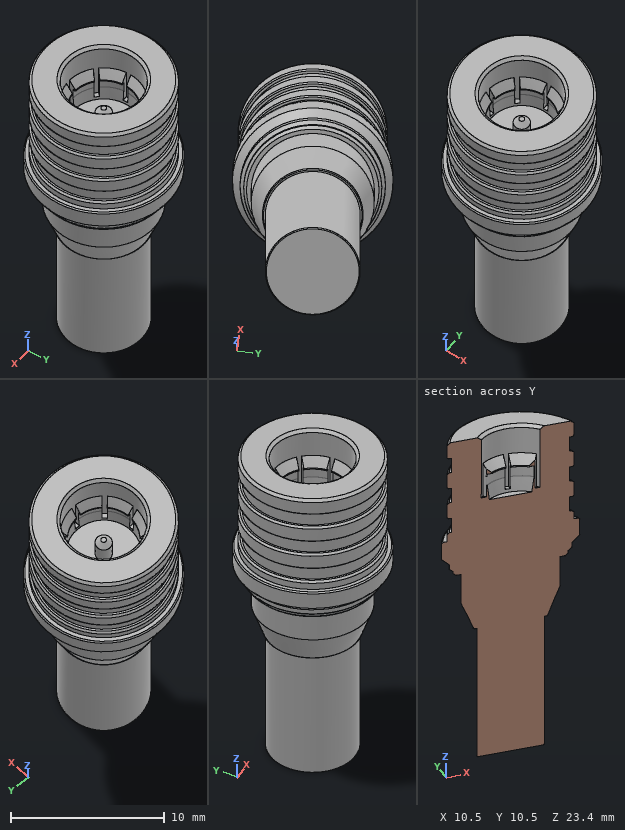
import cadquery as cq

length = 23.45

ring_radius = 4.88
groove_radius = 4.6
ring_count = 4
lowest_ring_top = 16.85
ring_pitch = (length - lowest_ring_top) / (ring_count - 1)
ring_width = 1.2
mouth_chamfer = 0.19
ring_top_chamfer = 0.15
ring_bottom_chamfer = 0.1

collar_diameter = 10.48
collar_radius = collar_diameter / 2
collar_top = 16.23
collar_cylinder_bottom = 14.95
collar_edge_chamfer = 0.1

upper_step_radius = 4.74
upper_step_top = 14.47
upper_step_bottom = 14.15
lower_step_radius = 4.5
lower_step_top = 13.93
lower_step_bottom = 13.8
sleeve_bottom_radius = 4.31
sleeve_bottom = 13.6

body_radius = 4.0
taper_top = 11.5
taper_radius = 3.28
taper_bottom = 9.43
taper_edge_chamfer = 0.07
tail_radius = 3.1
tail_chamfer = 0.07

bore_radius = 2.84
bore_chamfer = 0.2
lip_radius = 2.37
lip_top = 21.39
lip_land_top = 20.7
lip_bottom = 20.61
undercut_radius = 2.55
undercut_bottom = 19.85
socket_floor = 18.75
socket_floor_radius = 2.46

slot_count = 8
slot_width = 0.35
slot_floor = 19.0

pin_radius = 0.56
pin_tip_radius = 0.19
pin_top = 20.64


def revolve(profile):
    """Turn a closed (radius, height) outline about the Z axis."""
    return cq.Workplane("XZ").polyline(profile).close().revolve(360, (0, 0), (0, 1))


def ring(top, top_chamfer):
    """One raised grip ring with both outer edges chamfered."""
    bottom = top - ring_width
    return revolve([
        (0, top),
        (ring_radius - top_chamfer, top),
        (ring_radius, top - top_chamfer),
        (ring_radius, bottom + ring_bottom_chamfer),
        (ring_radius - ring_bottom_chamfer, bottom),
        (0, bottom),
    ])


def grip_sleeve():
    """Grooved cylinder with evenly spaced raised rings."""
    base = cq.Workplane("XY").workplane(offset=collar_top)
    sleeve = base.circle(groove_radius).extrude(length - collar_top)
    for index in range(ring_count):
        chamfer = mouth_chamfer if index == 0 else ring_top_chamfer
        sleeve = sleeve.union(ring(length - index * ring_pitch, chamfer))
    return sleeve


def lower_body():
    """Collar, steps, straight body, taper and tail."""
    return revolve([
        (0, collar_top),
        (collar_radius - collar_edge_chamfer, collar_top),
        (collar_radius, collar_top - collar_edge_chamfer),
        (collar_radius, collar_cylinder_bottom),
        (upper_step_radius, upper_step_top),
        (upper_step_radius, upper_step_bottom),
        (lower_step_radius, lower_step_top),
        (lower_step_radius, lower_step_bottom),
        (sleeve_bottom_radius, sleeve_bottom),
        (body_radius, sleeve_bottom),
        (body_radius, taper_top),
        (taper_radius, taper_bottom + taper_edge_chamfer),
        (taper_radius - taper_edge_chamfer, taper_bottom),
        (tail_radius, taper_bottom),
        (tail_radius, tail_chamfer),
        (tail_radius - tail_chamfer, 0),
        (0, 0),
    ])


def socket():
    """Stepped bore with an inward lip and a shallow undercut behind it."""
    return revolve([
        (0, length),
        (bore_radius + bore_chamfer, length),
        (bore_radius, length - bore_chamfer),
        (bore_radius, lip_top),
        (lip_radius, lip_land_top),
        (lip_radius, lip_bottom),
        (undercut_radius, lip_bottom),
        (undercut_radius, undercut_bottom),
        (socket_floor_radius, socket_floor),
        (0, socket_floor),
    ])


def finger_slots():
    """Full-width blades, each making two opposite slots out to the bore wall."""
    base = cq.Workplane("XY").workplane(offset=slot_floor)
    slot_height = lip_top - slot_floor
    slots = cq.Workplane("XY")
    for index in range(slot_count // 2):
        blade = base.rect(2 * bore_radius, slot_width).extrude(slot_height)
        slots = slots.union(blade.rotate((0, 0, 0), (0, 0, 1), index * 360 / slot_count))
    return slots.intersect(base.circle(bore_radius).extrude(slot_height))


def centre_pin():
    """Pin standing on the socket floor, with a 45 degree pointed tip."""
    return revolve([
        (0, pin_top),
        (pin_tip_radius, pin_top),
        (pin_radius, pin_top - (pin_radius - pin_tip_radius)),
        (pin_radius, socket_floor),
        (0, socket_floor),
    ])


shell = lower_body().union(grip_sleeve())
result = shell.cut(socket()).cut(finger_slots()).union(centre_pin())